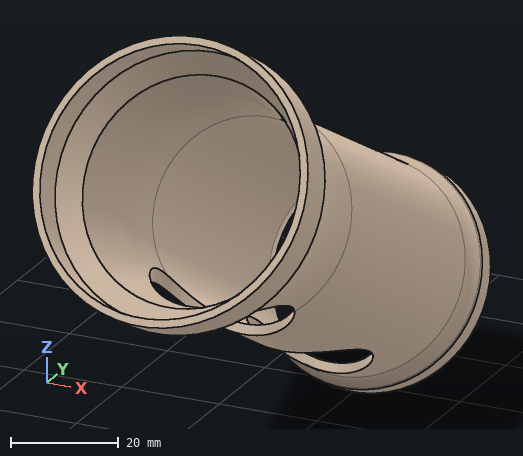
import cadquery as cq

tilt = 29.5
length = 105.0
tube_radius = 20.9
bore_radius = 18.9
flare_start = 66.1

collar_radius = 22.5
collar_height = 4.3
collar_neck_radius = 22.3
collar_neck_height = 4.8
collar_fillet_mid = (21.3, 6.6)
collar_fillet_end = 8.9
collar_bore_radius = 21.0
collar_cone_depth = 7.3

mouth_radius = 27.56
mouth_height = 8.6
mouth_bore_radius = 26.0
mouth_bore_depth = 7.7
mouth_cone_radius = 22.0
mouth_cone_depth = 11.5
flare_end = 89.3
flare_end_radius = 22.9
mouth_fillet_mid = (24.5, 92.9)
mouth_fillet_end = (26.6, 95.4)

windows = [(25.1, 12.2), (70.0, 13.9)]


def revolve_profile(profile):
    return profile.close().revolve(360, (0, 0, 0), (0, 1, 0))


def make_outside():
    profile = (
        cq.Workplane("YZ")
        .lineTo(collar_radius, 0)
        .lineTo(collar_radius, collar_height)
        .lineTo(collar_neck_radius, collar_neck_height)
        .threePointArc(collar_fillet_mid, (tube_radius, collar_fillet_end))
        .lineTo(tube_radius, flare_start)
        .tangentArcPoint((flare_end_radius, flare_end), relative=False)
        .threePointArc(mouth_fillet_mid, mouth_fillet_end)
        .lineTo(mouth_radius, length - mouth_height)
        .lineTo(mouth_radius, length)
        .lineTo(0, length)
    )
    return revolve_profile(profile)


def make_bore():
    profile = (
        cq.Workplane("YZ")
        .lineTo(collar_bore_radius, 0)
        .lineTo(bore_radius, collar_cone_depth)
        .lineTo(bore_radius, flare_start)
        .tangentArcPoint((mouth_cone_radius, length - mouth_cone_depth), relative=False)
        .lineTo(mouth_bore_radius, length - mouth_bore_depth)
        .lineTo(mouth_bore_radius, length)
        .lineTo(0, length)
    )
    return revolve_profile(profile)


def make_window(height, radius):
    return cq.Workplane("XZ").center(0, height).circle(radius).extrude(mouth_radius)


sleeve = make_outside().cut(make_bore())
for window_height, window_radius in windows:
    sleeve = sleeve.cut(make_window(window_height, window_radius))

result = sleeve.rotate((0, 0, 0), (1, 0, 0), 90 - tilt)